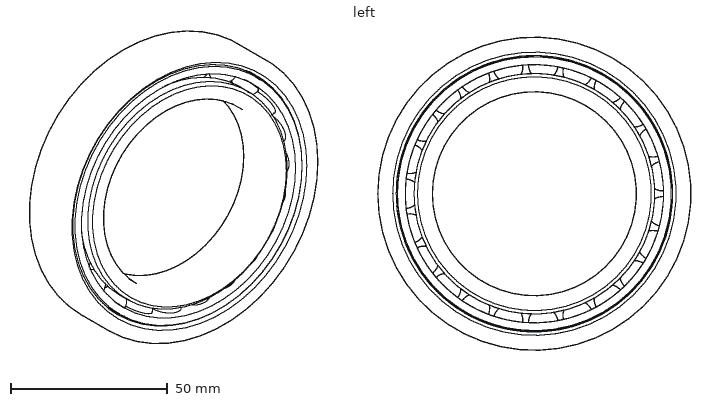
import cadquery as cq

WIDTH = 18.0
OUTER_RADIUS = 50.0
BORE_RADIUS = 32.5
CORNER_RADIUS = 1.1
SHOULDER_CHAMFER = 1.1

INNER_SHOULDER_RADIUS = 38.4
OUTER_SHOULDER_RADIUS = 44.1

BALL_COUNT = 23
BALL_RADIUS = 4.75
PITCH_RADIUS = (OUTER_RADIUS + BORE_RADIUS) / 2

CAGE_WIDTH = 17.0
CAGE_INNER_RADIUS = 41.2
CAGE_CLEARANCE = 0.4
CAGE_OUTER_RADIUS = OUTER_SHOULDER_RADIUS - CAGE_CLEARANCE

SMALLEST_CIRCLES = cq.selectors.RadiusNthSelector(0)
LARGEST_CIRCLES = cq.selectors.RadiusNthSelector(-1)


def sleeve(outer_radius, inner_radius, width):
    """Plain ring about the X axis, centred on the origin."""
    return (
        cq.Workplane("YZ", origin=(-width / 2, 0, 0))
        .circle(outer_radius)
        .circle(inner_radius)
        .extrude(width)
    )


def race_torus():
    """Torus swept by the balls, which cuts the groove in each ring."""
    centre = cq.Vector(0, 0, 0)
    bearing_axis = cq.Vector(1, 0, 0)
    return cq.Workplane(cq.Solid.makeTorus(PITCH_RADIUS, BALL_RADIUS, centre, bearing_axis))


def race_ring(outer_radius, inner_radius, rounded_edges, chamfered_edges):
    """Bearing ring with a rounded side, a chamfered shoulder and a ball groove."""
    ring = sleeve(outer_radius, inner_radius, WIDTH)
    ring = ring.edges(chamfered_edges).chamfer(SHOULDER_CHAMFER)
    ring = ring.edges(rounded_edges).fillet(CORNER_RADIUS)
    return ring.cut(race_torus())


def make_outer_ring():
    return race_ring(OUTER_RADIUS, OUTER_SHOULDER_RADIUS, LARGEST_CIRCLES, SMALLEST_CIRCLES)


def make_inner_ring():
    return race_ring(INNER_SHOULDER_RADIUS, BORE_RADIUS, SMALLEST_CIRCLES, LARGEST_CIRCLES)


def make_ball_cage():
    """Cage ring with the balls fixed in it, as one solid."""
    cage = sleeve(CAGE_OUTER_RADIUS, CAGE_INNER_RADIUS, CAGE_WIDTH)
    ball = (
        cq.Workplane("XY")
        .sphere(BALL_RADIUS, direct=(0, 1, 0))
        .translate((0, PITCH_RADIUS, 0))
    )
    for index in range(BALL_COUNT):
        angle = index * 360 / BALL_COUNT
        cage = cage.union(ball.rotate((0, 0, 0), (1, 0, 0), angle))
    return cage


outer_ring = make_outer_ring()
inner_ring = make_inner_ring()
ball_cage = make_ball_cage()

result = cq.Compound.makeCompound(
    [outer_ring.solids().val(), inner_ring.solids().val(), ball_cage.solids().val()]
)